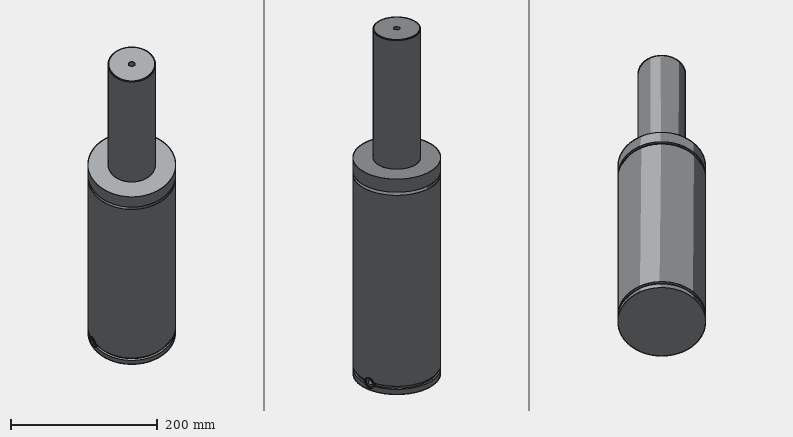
import cadquery as cq
import math

total_height = 540.0
body_diameter = 120.0
body_height = 337.5
rod_diameter = 65.0
rod_chamfer = 1.0

base_groove_bottom = 8.0
base_groove_width = 5.0
base_groove_depth = 3.0

head_height = 20.5
head_groove_width = 5.0
head_groove_depth = 2.5

port_height = 11.0
plug_diameter = 16.0
port_recess_diameter = 14.0
port_recess_depth = 2.0
plug_length = 11.0
port_hole_diameter = 7.0
port_hole_depth = 8.0

rod_hole_diameter = 8.5
rod_hole_depth = 16.0
drill_point_angle = 118.0

body_radius = body_diameter / 2
rod_radius = rod_diameter / 2


def make_cylinder_and_rod():
    """Revolve the grooved body and the rod as one profile."""
    base_groove_top = base_groove_bottom + base_groove_width
    head_bottom = body_height - head_height
    shoulder_height = head_bottom - head_groove_width
    base_groove_radius = body_radius - base_groove_depth
    head_groove_radius = body_radius - head_groove_depth
    return (
        cq.Workplane("XZ")
        .moveTo(0, 0)
        .lineTo(body_radius, 0)
        .lineTo(body_radius, base_groove_bottom)
        .lineTo(base_groove_radius, base_groove_bottom)
        .lineTo(base_groove_radius, base_groove_top)
        .lineTo(body_radius, base_groove_top)
        .lineTo(body_radius, shoulder_height)
        .lineTo(head_groove_radius, head_bottom)
        .lineTo(body_radius, head_bottom)
        .lineTo(body_radius, body_height)
        .lineTo(rod_radius, body_height)
        .lineTo(rod_radius, total_height - rod_chamfer)
        .lineTo(rod_radius - rod_chamfer, total_height)
        .lineTo(0, total_height)
        .close()
        .revolve(360, (0, 0, 0), (0, 1, 0))
    )


def port_plane():
    """Plane on the port face, with its normal pointing into the body."""
    return cq.Workplane(cq.Plane((0, -body_radius, port_height), (1, 0, 0), (0, 1, 0)))


def make_port_disc(diameter, depth):
    """Disc that runs from the port face into the body."""
    return port_plane().circle(diameter / 2).extrude(depth)


def add_port(body):
    """Bridge the groove with the plug, then sink the recess and the centre hole."""
    port_plug = make_port_disc(plug_diameter, plug_length)
    port_recess = make_port_disc(port_recess_diameter, port_recess_depth)
    port_hole = make_port_disc(port_hole_diameter, port_hole_depth)
    return body.union(port_plug).cut(port_recess).cut(port_hole)


def cut_rod_hole(body):
    """Drill the blind hole in the rod end, with a conical bottom."""
    hole_radius = rod_hole_diameter / 2
    shoulder = total_height - rod_hole_depth
    tip_depth = hole_radius / math.tan(math.radians(drill_point_angle / 2))
    drill = (
        cq.Workplane("XZ")
        .moveTo(0, total_height)
        .lineTo(hole_radius, total_height)
        .lineTo(hole_radius, shoulder)
        .lineTo(0, shoulder - tip_depth)
        .close()
        .revolve(360, (0, 0, 0), (0, 1, 0))
    )
    return body.cut(drill)


result = cut_rod_hole(add_port(make_cylinder_and_rod()))